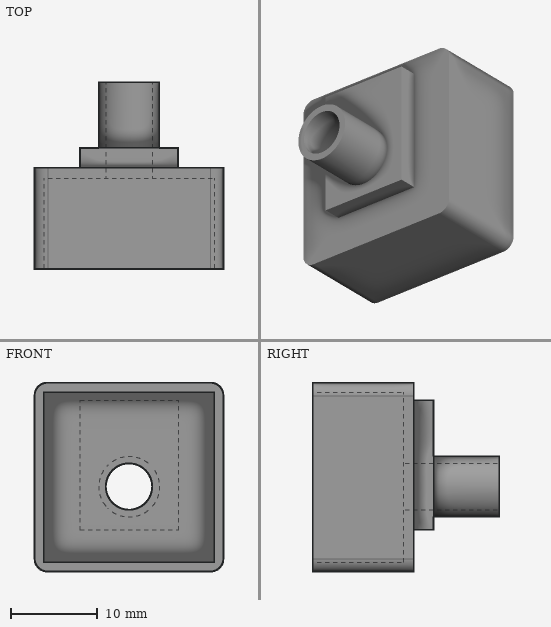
import cadquery as cq

housing_side = 21.85
housing_depth = 11.7
corner_radius = 1.5
wall = 1.1
floor_thickness = 1.2

plate_width = 11.35
plate_height = 15.0
plate_thickness = 2.3
plate_offset_z = 1.4

tube_diameter = 7.0
bore_diameter = 5.33
tube_length = 7.6
tube_offset_z = -1.1

cavity_side = housing_side - 2 * wall
cavity_depth = housing_depth - floor_thickness
plate_end = housing_depth + plate_thickness
tube_end = plate_end + tube_length


def block(width, height, start_y, end_y, center_z=0.0):
    """Box centred on X that spans start_y to end_y."""
    return (
        cq.Workplane("XY")
        .box(width, end_y - start_y, height, centered=(True, False, True))
        .translate((0, start_y, center_z))
    )


def cylinder(diameter, start_y, end_y):
    """Cylinder on the tube axis that spans start_y to end_y."""
    return (
        cq.Workplane("XZ", origin=(0, start_y, tube_offset_z))
        .circle(diameter / 2)
        .extrude(start_y - end_y)
    )


housing = block(housing_side, housing_side, 0, housing_depth).edges("|Y").fillet(corner_radius)
plate = block(plate_width, plate_height, housing_depth, plate_end, plate_offset_z)
tube = cylinder(tube_diameter, plate_end, tube_end)

cavity = block(cavity_side, cavity_side, 0, cavity_depth)
bore = cylinder(bore_diameter, cavity_depth, tube_end)

result = housing.union(plate).union(tube).cut(cavity).cut(bore)